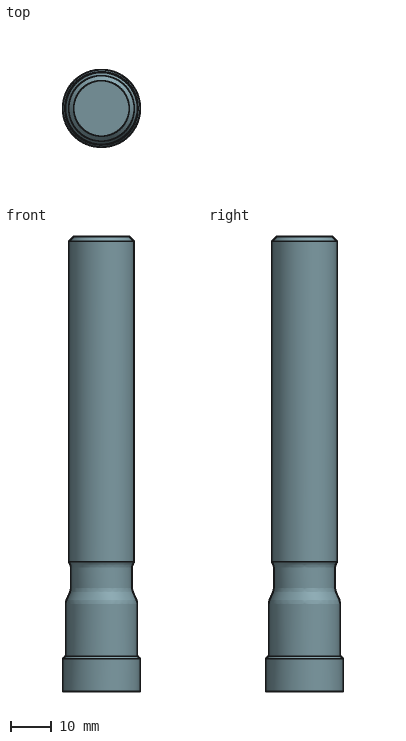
import cadquery as cq

total_length = 111.1
head_height = 8.6
body_top = 21.9
neck_bottom = 24.8
neck_top = 30.7
shank_bottom = 31.7

head_radius = 19.0 / 2
body_radius = 17.6 / 2
neck_radius = 15.0 / 2
shank_radius = 16.0 / 2

shank_chamfer = 1.2
head_top_chamfer = 0.6
head_bottom_fillet = 0.2
taper_blend = 2.5
neck_top_blend = 1.7

EDGE_BAND = 0.1


def circle_at(z):
    """Selector for the circular edge centred on the axis at height z."""
    reach = 0.1
    return cq.selectors.BoxSelector((-reach, -reach, z - EDGE_BAND), (reach, reach, z + EDGE_BAND))


def make_head():
    """Short disc with a chamfered upper rim and a rounded lower rim."""
    head = cq.Workplane("XY").circle(head_radius).extrude(head_height)
    head = head.faces(">Z").edges().chamfer(head_top_chamfer)
    return head.faces("<Z").edges().fillet(head_bottom_fillet)


def make_holder():
    """Turned holder: body, taper, neck and chamfered shank."""
    holder = (
        cq.Workplane("XZ")
        .moveTo(0, head_height)
        .lineTo(body_radius, head_height)
        .lineTo(body_radius, body_top)
        .lineTo(neck_radius, neck_bottom)
        .lineTo(neck_radius, neck_top)
        .lineTo(shank_radius, shank_bottom)
        .lineTo(shank_radius, total_length)
        .lineTo(0, total_length)
        .close()
        .revolve(360, (0, 0, 0), (0, 1, 0))
    )
    holder = holder.faces(">Z").edges().chamfer(shank_chamfer)
    for corner_z in (body_top, neck_bottom):
        holder = holder.edges(circle_at(corner_z)).fillet(taper_blend)
    return holder.edges(circle_at(neck_top)).fillet(neck_top_blend)


head = make_head()
holder = make_holder()
result = cq.Compound.makeCompound([head.val(), holder.val()])